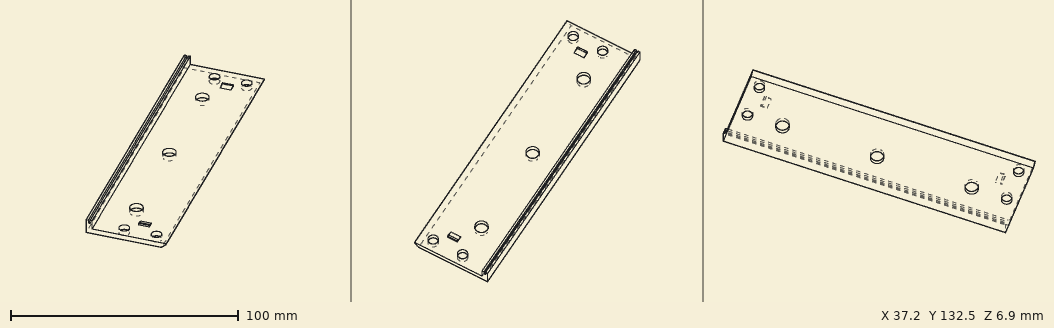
import cadquery as cq

length = 132.5
width = 37.2
plate_thickness = 2.5
bevel_run = 2.1
bevel_land = 0.4

rim_height = 6.9
rim_width = 2.8
groove_start = 1.0
groove_width = 0.8
groove_depth = 1.6

small_hole_diameter = 4.6
large_hole_diameter = 6.0
inner_hole_x = 15.9
small_hole_spacing_x = 15.0
small_hole_end_distance = 5.5
large_hole_pitch = 44.4

catch_start_x = 21.1
catch_width = 5.0
catch_height = 0.8
catch_flat = 0.8
catch_ramp = 2.3
catch_end_distance = 9.7


def make_body():
    """L-shaped profile extruded along the full length."""
    profile = (
        cq.Workplane("XZ")
        .moveTo(0, 0)
        .lineTo(width - bevel_run, 0)
        .lineTo(width, plate_thickness - bevel_land)
        .lineTo(width, plate_thickness)
        .lineTo(rim_width, plate_thickness)
        .lineTo(rim_width, rim_height)
        .lineTo(groove_start + groove_width, rim_height)
        .lineTo(groove_start + groove_width, rim_height - groove_depth)
        .lineTo(groove_start, rim_height - groove_depth)
        .lineTo(groove_start, rim_height)
        .lineTo(0, rim_height)
        .close()
    )
    return profile.extrude(length / 2, both=True)


def make_holes(diameter, centres):
    """Cylinders that pass through the plate."""
    return cq.Workplane("XY").pushPoints(centres).circle(diameter / 2).extrude(plate_thickness)


def make_catch(side):
    """Catch near one end; side is +1 or -1 along Y."""
    outer_y = length / 2 - catch_end_distance
    ridge_y = outer_y - catch_flat
    inner_y = ridge_y - catch_ramp
    catch_top = plate_thickness + catch_height
    catch_root = plate_thickness / 2
    return (
        cq.Workplane("YZ", origin=(catch_start_x, 0, 0))
        .moveTo(side * outer_y, catch_root)
        .lineTo(side * outer_y, catch_top)
        .lineTo(side * ridge_y, catch_top)
        .lineTo(side * inner_y, plate_thickness)
        .lineTo(side * inner_y, catch_root)
        .close()
        .extrude(catch_width)
    )


small_hole_y = length / 2 - small_hole_end_distance
small_hole_centres = [
    (x, side * small_hole_y)
    for x in (inner_hole_x, inner_hole_x + small_hole_spacing_x)
    for side in (-1, 1)
]
large_hole_centres = [(inner_hole_x, step * large_hole_pitch) for step in (-1, 0, 1)]

result = make_body()
for end in (-1, 1):
    result = result.union(make_catch(end))
result = result.cut(make_holes(small_hole_diameter, small_hole_centres))
result = result.cut(make_holes(large_hole_diameter, large_hole_centres))